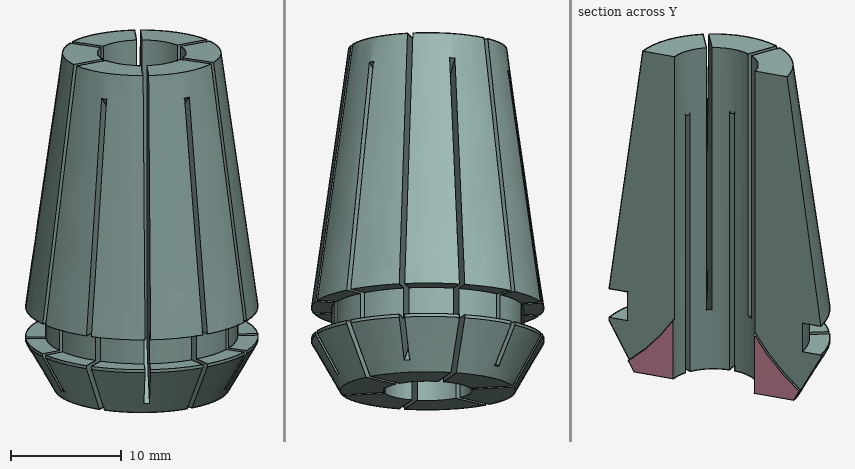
import cadquery as cq
import math


LENGTH = 31.5
MAX_RADIUS = 10.5
TOP_RADIUS = 7.15
BOTTOM_RADIUS = 7.9
BORE_RADIUS = 4.0
GROOVE_RADIUS = 8.65
GROOVE_BOTTOM = 4.82
GROOVE_TOP = 7.62
RIM_HEIGHT = 0.28
RIM_BOTTOM = GROOVE_BOTTOM - RIM_HEIGHT

SLOTS_PER_SET = 6
SLOT_WIDTH = 0.5
SLOT_PITCH = 360.0 / SLOTS_PER_SET
UPPER_SLOT_OUTER_END = 1.0
UPPER_SLOT_BORE_END = 5.83
LOWER_SLOT_OUTER_END = 29.17
LOWER_SLOT_BORE_END = 25.2
SLOT_END_RADIUS = 20.0
CLEARANCE = 0.63


def radius_on_cone(z, z_start, r_start, z_end, r_end):
    """Radius at height z on a cone between two given circles."""
    return r_start + (r_end - r_start) * (z - z_start) / (z_end - z_start)


def collet_blank():
    profile = [
        (BORE_RADIUS, 0),
        (BOTTOM_RADIUS, 0),
        (MAX_RADIUS, RIM_BOTTOM),
        (MAX_RADIUS, GROOVE_BOTTOM),
        (GROOVE_RADIUS, GROOVE_BOTTOM),
        (GROOVE_RADIUS, GROOVE_TOP),
        (MAX_RADIUS, GROOVE_TOP),
        (TOP_RADIUS, LENGTH),
        (BORE_RADIUS, LENGTH),
    ]
    return cq.Workplane("XZ").polyline(profile).close().revolve(360, (0, 0), (0, 1))


def slot_cutter(bore_end, outer_end, outer_radius, open_end):
    """Radial blade along +X whose closed end is an arc, hollow towards the open end."""
    opening = math.copysign(1, open_end - bore_end)
    run = outer_radius - BORE_RADIUS
    rise = outer_end - bore_end
    chord = math.hypot(run, rise)
    centre_offset = math.sqrt(SLOT_END_RADIUS**2 - (chord / 2) ** 2)
    centre_r = BORE_RADIUS + run / 2 + centre_offset * abs(rise) / chord
    centre_z = bore_end + rise / 2 + opening * centre_offset * run / chord

    def arc_point(r):
        return (r, centre_z - opening * math.sqrt(SLOT_END_RADIUS**2 - (r - centre_r) ** 2))

    near = BORE_RADIUS - CLEARANCE
    far = MAX_RADIUS + CLEARANCE
    outline = (
        cq.Workplane("XZ")
        .moveTo(*arc_point(near))
        .threePointArc(arc_point((near + far) / 2), arc_point(far))
        .lineTo(far, open_end)
        .lineTo(near, open_end)
        .close()
    )
    return outline.extrude(SLOT_WIDTH / 2, both=True)


def cut_slot_set(body, cutter, first_angle):
    for i in range(SLOTS_PER_SET):
        angle = first_angle + i * SLOT_PITCH
        body = body.cut(cutter.rotate((0, 0, 0), (0, 0, 1), angle))
    return body


upper_slot = slot_cutter(
    UPPER_SLOT_BORE_END,
    UPPER_SLOT_OUTER_END,
    radius_on_cone(UPPER_SLOT_OUTER_END, 0, BOTTOM_RADIUS, RIM_BOTTOM, MAX_RADIUS),
    LENGTH + CLEARANCE,
)
lower_slot = slot_cutter(
    LOWER_SLOT_BORE_END,
    LOWER_SLOT_OUTER_END,
    radius_on_cone(LOWER_SLOT_OUTER_END, GROOVE_TOP, MAX_RADIUS, LENGTH, TOP_RADIUS),
    -CLEARANCE,
)

result = collet_blank()
result = cut_slot_set(result, upper_slot, 0)
result = cut_slot_set(result, lower_slot, SLOT_PITCH / 2)